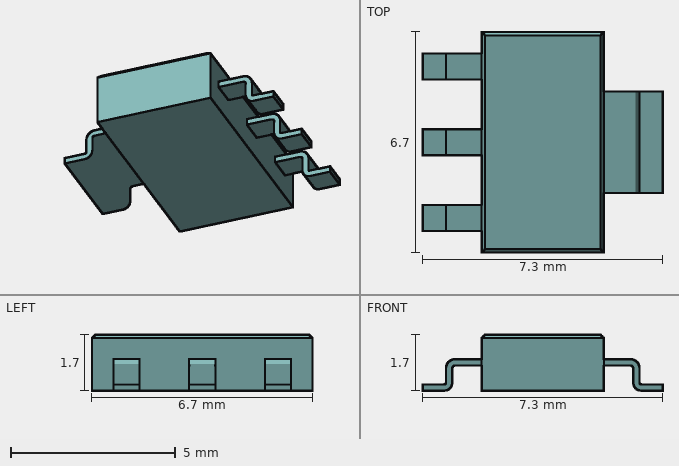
import cadquery as cq

span = 7.3
body_length = 6.7
body_height = 1.7
body_width = 3.71
top_chamfer = 0.1

thickness = 0.2
lead_top = 0.96
foot_length = 0.905
foot_bend = 0.05
shoulder_bend = 0.09
lead_width = 0.8
lead_pitch = 2.3
tab_width = 3.095


def make_body():
    """Plain block with a small chamfer around the top face."""
    block = cq.Workplane("XY").box(body_width, body_length, body_height, centered=(True, True, False))
    return block.faces(">Z").edges().chamfer(top_chamfer)


def make_lead(width, y_center):
    """Gull-wing lead on the -X side: foot, riser and shoulder with rounded bends."""
    tip = -span / 2
    root = -body_width / 2
    riser_inner = tip + foot_length
    riser_outer = riser_inner - thickness
    outline = [
        (tip, 0),
        (riser_inner, 0),
        (riser_inner, lead_top - thickness),
        (root, lead_top - thickness),
        (root, lead_top),
        (riser_outer, lead_top),
        (riser_outer, thickness),
        (tip, thickness),
    ]
    lead = cq.Workplane("XZ").polyline(outline).close().extrude(width / 2, both=True)

    def bend_edge(x, z):
        return cq.selectors.NearestToPointSelector((x, 0, z))

    bends = [
        (riser_inner, 0, foot_bend + thickness),
        (riser_outer, thickness, foot_bend),
        (riser_outer, lead_top, shoulder_bend + thickness),
        (riser_inner, lead_top - thickness, shoulder_bend),
    ]
    for x, z, radius in bends:
        lead = lead.edges("|Y").edges(bend_edge(x, z)).fillet(radius)
    return lead.translate((0, y_center, 0))


result = make_body()

for row in (-1, 0, 1):
    result = result.union(make_lead(lead_width, row * lead_pitch))

result = result.union(make_lead(tab_width, 0).mirror("YZ"))